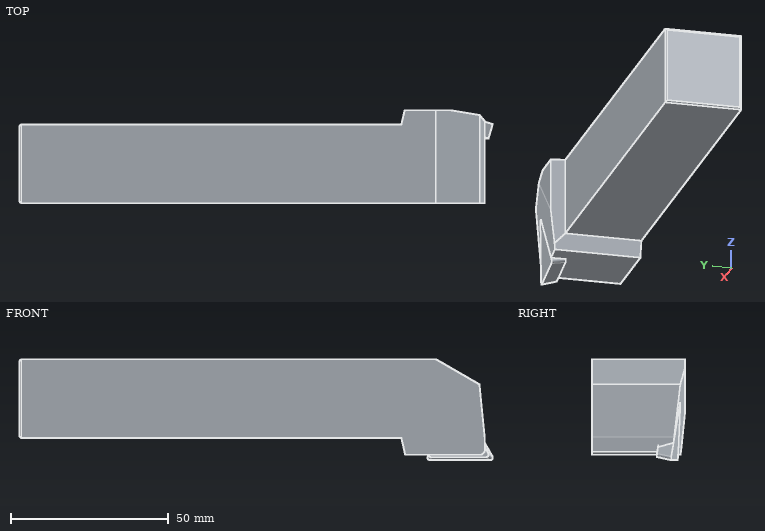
import cadquery as cq
import math


shank_size = 25.0
shank_end_chamfer = 0.6

tip_x = 150.0
tip_y = shank_size
tip_z = -7.0

head_top_y = 29.5
head_bottom_z = -5.3
shoulder_x = 121.0
shoulder_angle = 13.0
top_slope_start_x = 132.0
top_slope_angle = 30.0
nose_upper_x = 145.8
nose_x = 147.45
nose_angle = 5.7
nose_chamfer = 1.0

rake_angle_along = 6.0
rake_angle_across = 6.0
rake_cutter_size = 150.0

insert_side = 22.0
insert_corner_angle = 60.0
insert_thickness = 4.76
insert_corner_radius = 0.8
insert_flank_angle = 6.0


def lean_offset(length, angle):
    """Offset gained along a length that leans by an angle in degrees."""
    return length * math.tan(math.radians(angle))


def tilt_to_rake(shape):
    """Turn a shape laid in the XZ plane onto the rake plane, about the cutting point."""
    tip = cq.Vector(tip_x, tip_y, tip_z)
    shape = shape.rotate(tip, tip + cq.Vector(1, 0, 0), -rake_angle_across)
    return shape.rotate(tip, tip + cq.Vector(0, 0, 1), -rake_angle_along)


def make_shank():
    return (
        cq.Workplane("XY")
        .box(shoulder_x, shank_size, shank_size, centered=False)
        .faces("<X")
        .chamfer(shank_end_chamfer)
    )


def make_head():
    nose_upper_z = shank_size - lean_offset(nose_upper_x - top_slope_start_x, top_slope_angle)
    nose_lower_z = nose_upper_z - (nose_x - nose_upper_x) / math.tan(math.radians(nose_angle))
    side_profile = [
        (shoulder_x, shank_size),
        (top_slope_start_x, shank_size),
        (nose_upper_x, nose_upper_z),
        (nose_x, nose_lower_z),
        (nose_x, head_bottom_z + nose_chamfer),
        (nose_x - nose_chamfer, head_bottom_z),
        (shoulder_x + lean_offset(-head_bottom_z, shoulder_angle), head_bottom_z),
        (shoulder_x, 0),
    ]
    head = cq.Workplane("XZ").polyline(side_profile).close().extrude(-head_top_y)

    shoulder_top_x = shoulder_x + lean_offset(head_top_y - shank_size, shoulder_angle)
    shoulder_wedge = (
        cq.Workplane("XY")
        .workplane(offset=head_bottom_z)
        .polyline([(shoulder_x, shank_size), (shoulder_top_x, head_top_y), (shoulder_x, head_top_y)])
        .close()
        .extrude(shank_size - head_bottom_z)
    )

    rake_cutter = (
        cq.Workplane("XZ", origin=(tip_x, tip_y, tip_z))
        .rect(rake_cutter_size, rake_cutter_size)
        .extrude(-rake_cutter_size)
    )
    return head.cut(shoulder_wedge).cut(tilt_to_rake(rake_cutter))


def make_insert():
    corner_shortfall = insert_corner_radius * (1 / math.tan(math.radians(insert_corner_angle / 2)) - 1)
    triangle = [
        (corner_shortfall, 0),
        (corner_shortfall - insert_side / 2, insert_side * math.sin(math.radians(insert_corner_angle))),
        (corner_shortfall - insert_side, 0),
    ]
    insert = (
        cq.Workplane("XZ", origin=(tip_x, tip_y, tip_z))
        .polyline(triangle)
        .close()
        .extrude(insert_thickness, taper=insert_flank_angle)
        .edges("not(#Y)")
        .fillet(insert_corner_radius)
    )
    return tilt_to_rake(insert)


insert = make_insert()
holder = make_shank().union(make_head()).cut(insert)

result = cq.Compound.makeCompound([holder.solids().val(), insert.val()])